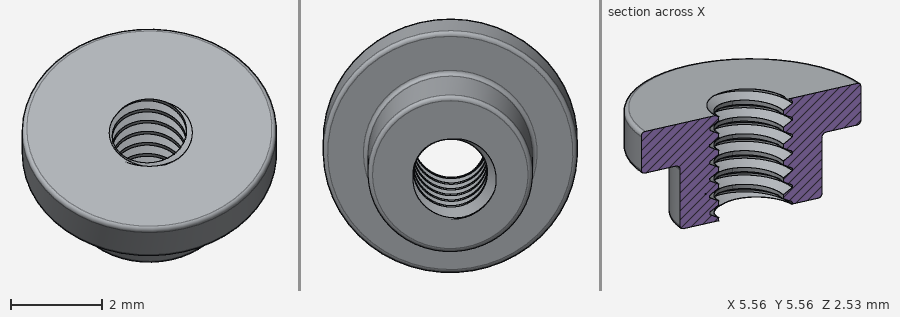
import cadquery as cq

flange_diameter = 5.56
flange_height = 1.0
stem_diameter = 3.6
total_height = 2.53
edge_radius = 0.1

minor_diameter = 1.625
major_diameter = 2.075
pitch = 0.4
root_width = pitch / 8
mouth_width = pitch * 3 / 4
bore_overlap = 0.045
turns_below_top = 8
turns_above_top = 1

stem_height = total_height - flange_height


def make_body():
    """Round stem and flange with rounded edges and inside corner."""
    stem_radius = stem_diameter / 2
    flange_radius = flange_diameter / 2
    profile = (
        cq.Workplane("XZ")
        .lineTo(stem_radius, 0)
        .lineTo(stem_radius, stem_height)
        .lineTo(flange_radius, stem_height)
        .lineTo(flange_radius, total_height)
        .lineTo(0, total_height)
        .close()
    )
    body = profile.revolve(360, (0, 0, 0), (0, 1, 0))
    return body.edges("%CIRCLE").fillet(edge_radius)


def make_thread_groove():
    """Helical trapezoid with its root centred on +X at the top face."""
    minor_radius = minor_diameter / 2
    major_radius = major_diameter / 2
    start_z = total_height - turns_below_top * pitch
    helix_height = (turns_below_top + turns_above_top) * pitch

    flank_slope = (mouth_width - root_width) / 2 / (major_radius - minor_radius)
    inner_radius = minor_radius - bore_overlap
    inner_half = mouth_width / 2 + bore_overlap * flank_slope
    root_half = root_width / 2

    corners = [
        (inner_radius, start_z - inner_half),
        (major_radius, start_z - root_half),
        (major_radius, start_z + root_half),
        (inner_radius, start_z + inner_half),
    ]
    rails = [
        cq.Wire.makeHelix(pitch, helix_height, radius, cq.Vector(0, 0, z))
        for radius, z in corners
    ]
    next_rails = rails[1:] + rails[:1]
    sides = [cq.Face.makeRuledSurface(rail, following) for rail, following in zip(rails, next_rails)]
    ends = []
    for rise in (0, helix_height):
        points = [cq.Vector(radius, 0, z + rise) for radius, z in corners]
        ends.append(cq.Face.makeFromWires(cq.Wire.makePolygon(points, close=True)))

    faces = [face for side in sides for face in side.Faces()] + ends
    return cq.Workplane(cq.Solid.makeSolid(cq.Shell.makeShell(faces)))


bore = cq.Workplane("XY").circle(minor_diameter / 2).extrude(total_height)

result = make_body().cut(bore).cut(make_thread_groove())